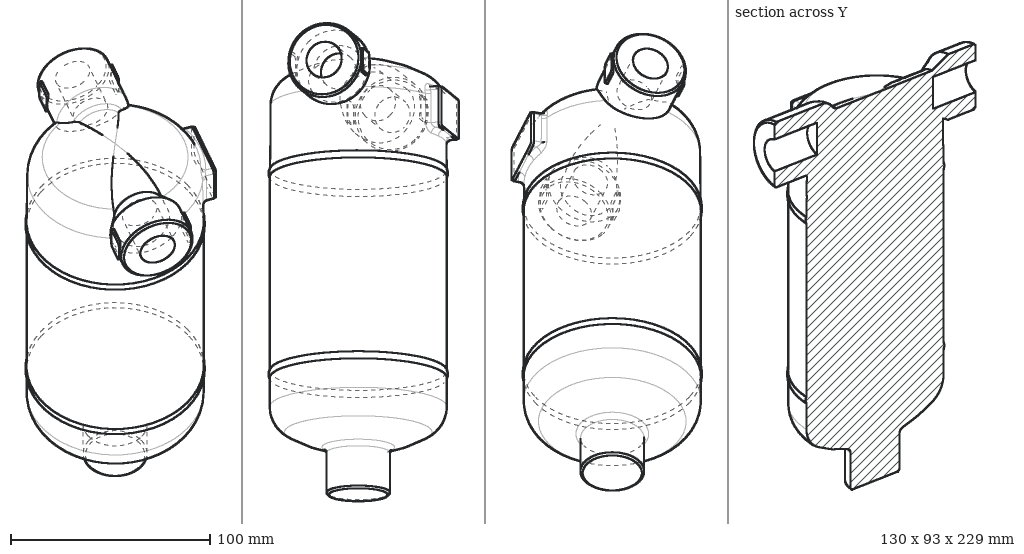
import cadquery as cq
import math

height = 229.0
port_span = 130.0
plate_face_y = 47.9

body_radius = 89.0 / 2
top_rim_radius = 44.2
crown_radius = 73.3
top_crown_edge = 36.6
bottom_crown_edge = 37.0
bottom_apex_z = 22.2

bead_heights = (62.0, 165.5)
bead_width = 3.7
bead_rise = 0.57

drain_radius = 32.0 / 2
drain_blend_radius = 3.0
end_chamfer = 1.1

port_radius = 38.0 / 2
port_axis_z = height - port_radius
neck_radius = 13.3
port_end_x = port_span / 2
inlet_shoulder_x = -34.8
inlet_shoulder_radius = 9.0
inlet_neck_x = -24.5
outlet_cone_start_x = 36.9
outlet_cone_end_x = 47.2
bore_radius = 9.2
bore_depth = 27.5

pad_size = 11.7
pad_draft = 15.0
pad_corner_radius = 1.5
pad_offset_x = 55.2
pad_face_y = 19.2
pad_root_depth = 2.3

plate_width = 34.4
plate_height = 21.0
plate_center_z = 194.0
plate_corner_radius = 2.0
plate_blend_radius = 2.7
plate_bevel_depth = 1.4
plate_bevel_inset = 0.5

top_apex_z = port_axis_z + neck_radius


def crown_sag(radius):
    """Height lost by a crown between its apex and the given radius."""
    return crown_radius - math.sqrt(crown_radius**2 - radius**2)


def head_points(apex_z, edge, rim, direction):
    """Crown middle, crown edge, knuckle middle and rim points of a domed head.

    The knuckle is tangent to the crown at radius `edge` and vertical at radius `rim`.
    Direction is +1 for a head that opens upwards from its apex, -1 for downwards.
    """
    edge_angle = math.asin(edge / crown_radius)
    knuckle = (rim - edge) / (1 - math.sin(edge_angle))
    rim_depth = crown_sag(edge) + knuckle * math.cos(edge_angle)
    middle_angle = (edge_angle + math.pi / 2) / 2
    middle_radius = rim - knuckle * (1 - math.sin(middle_angle))
    middle_depth = rim_depth - knuckle * math.cos(middle_angle)
    return (
        (edge / 2, apex_z + direction * crown_sag(edge / 2)),
        (edge, apex_z + direction * crown_sag(edge)),
        (middle_radius, apex_z + direction * middle_depth),
        (rim, apex_z + direction * rim_depth),
    )


def make_vessel():
    """Domed body, revolved about Z."""
    low_crown, low_edge, low_knuckle, low_rim = head_points(
        bottom_apex_z, bottom_crown_edge, body_radius, 1
    )
    top_crown, top_edge, top_knuckle, top_rim = head_points(
        top_apex_z, top_crown_edge, top_rim_radius, -1
    )
    profile = (
        cq.Workplane("XZ")
        .moveTo(0, bottom_apex_z)
        .threePointArc(low_crown, low_edge)
        .threePointArc(low_knuckle, low_rim)
        .lineTo(body_radius, bead_heights[1])
        .lineTo(*top_rim)
        .threePointArc(top_knuckle, top_edge)
        .threePointArc(top_crown, (0, top_apex_z))
        .close()
    )
    return profile.revolve(360, (0, 0), (0, 1))


def make_bead(z):
    """Weld bead with a rounded crest."""
    half = bead_width / 2
    root = body_radius - bead_rise
    return (
        cq.Workplane("XZ")
        .moveTo(root, z - half)
        .lineTo(body_radius, z - half)
        .threePointArc((body_radius + bead_rise, z), (body_radius, z + half))
        .lineTo(root, z + half)
        .close()
        .revolve(360, (0, 0), (0, 1))
    )


def make_ports():
    """Inlet, neck and outlet as one profile revolved about the port axis."""
    shoulder_center_r = port_radius - inlet_shoulder_radius
    run = inlet_neck_x - inlet_shoulder_x
    step = neck_radius - shoulder_center_r
    blend = (run**2 + step**2 - inlet_shoulder_radius**2) / (2 * (inlet_shoulder_radius - step))
    touch_angle = math.atan2(step + blend, run)
    touch = (
        inlet_shoulder_x + inlet_shoulder_radius * math.cos(touch_angle),
        shoulder_center_r + inlet_shoulder_radius * math.sin(touch_angle),
    )
    profile = (
        cq.Workplane("XZ", origin=(0, 0, port_axis_z))
        .moveTo(-port_end_x, 0)
        .lineTo(-port_end_x, port_radius - end_chamfer)
        .lineTo(-port_end_x + end_chamfer, port_radius)
        .lineTo(inlet_shoulder_x, port_radius)
        .tangentArcPoint(touch, relative=False)
        .tangentArcPoint((inlet_neck_x, neck_radius), relative=False)
        .lineTo(outlet_cone_start_x, neck_radius)
        .lineTo(outlet_cone_end_x, port_radius)
        .lineTo(port_end_x - end_chamfer, port_radius)
        .lineTo(port_end_x, port_radius - end_chamfer)
        .lineTo(port_end_x, 0)
        .close()
    )
    return profile.revolve(360, (0, 0), (1, 0))


def make_pad(x, direction):
    """Rounded square pad on the flank of a port; direction is the sign of its Y side."""
    return (
        cq.Workplane("XZ", origin=(x, direction * pad_face_y, port_axis_z))
        .sketch()
        .rect(pad_size, pad_size)
        .vertices()
        .fillet(pad_corner_radius)
        .finalize()
        .extrude(direction * pad_root_depth, taper=-pad_draft)
    )


def make_plate():
    """Nameplate boss on the +Y side, reaching into the body."""
    return (
        cq.Workplane("XY")
        .box(plate_width, plate_face_y, plate_height)
        .edges("|Y")
        .fillet(plate_corner_radius)
        .faces(">Y")
        .edges()
        .chamfer(plate_bevel_inset, plate_bevel_depth)
        .translate((0, plate_face_y / 2, plate_center_z))
    )


def make_bore(direction):
    """Blind socket bore from a port end; direction is the sign of its X side."""
    return (
        cq.Workplane("YZ", origin=(direction * port_end_x, 0, port_axis_z))
        .circle(bore_radius)
        .extrude(-direction * bore_depth)
    )


result = make_vessel().union(make_plate())
blend_zone = cq.selectors.BoxSelector(
    (-plate_width, top_crown_edge, plate_center_z - plate_height),
    (plate_width, plate_face_y - 2.3, plate_center_z + plate_height),
    boundingbox=True,
)
result = result.edges(blend_zone).fillet(plate_blend_radius)

drain_root_z = bottom_apex_z + crown_sag(bottom_crown_edge)
drain = cq.Workplane("XY").circle(drain_radius).extrude(drain_root_z)
drain = drain.faces("<Z").chamfer(end_chamfer)
result = result.union(drain)
drain_joint = cq.selectors.BoxSelector(
    (-body_radius / 2, -body_radius / 2, bottom_apex_z),
    (body_radius / 2, body_radius / 2, drain_root_z),
    boundingbox=True,
)
result = result.edges(drain_joint).fillet(drain_blend_radius)

for bead_z in bead_heights:
    result = result.union(make_bead(bead_z))

result = result.union(make_ports())
for side in (-1, 1):
    for flank in (-1, 1):
        result = result.union(make_pad(side * pad_offset_x, flank))
    result = result.cut(make_bore(side))